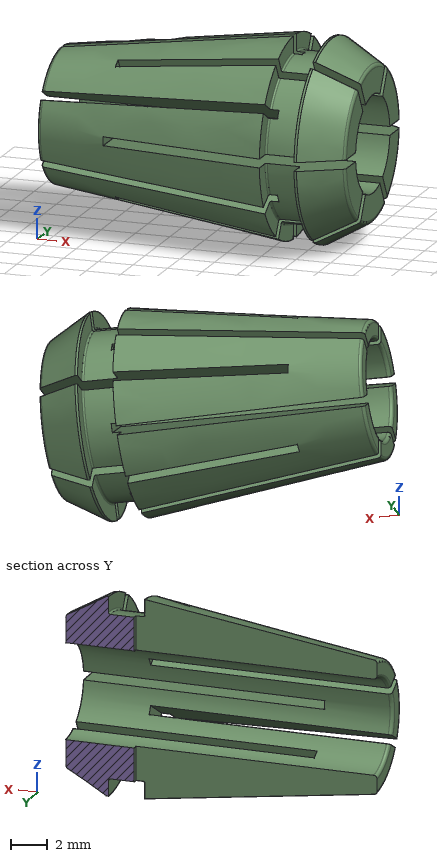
import cadquery as cq
import math

length = 18.0
bore_diameter = 5.56
largest_radius = 5.751

taper_end = 13.5
neck_end = 15.5
rim_width = 0.15

taper_angle = 8.0
nose_angle = 30.0
neck_radius = 4.75

small_end_fillet = 0.2
nose_fillet = 0.25
neck_fillet = 0.1

slot_width = 0.5
slots_per_set = 6
front_slot_end = 14.0
rear_slot_start = 4.0

bore_radius = bore_diameter / 2
nose_start = neck_end + rim_width
small_end_radius = largest_radius - taper_end * math.tan(math.radians(taper_angle))
nose_end_radius = largest_radius - (length - nose_start) * math.tan(math.radians(nose_angle))
slot_pitch = 360 / slots_per_set
slot_reach = largest_radius + slot_width


def fillet_ring(body, x, ring_radius, fillet_radius):
    """Round the circular edge that lies at station x and has the given radius."""
    tolerance = 0.002

    def is_ring(edge):
        same_radius = abs(edge.radius() - ring_radius) < tolerance
        same_station = abs(edge.startPoint().x - x) < tolerance
        return same_radius and same_station

    ring = body.edges("%CIRCLE").filter(is_ring)
    return ring.fillet(fillet_radius)


def make_body():
    """Revolve the collet profile and round its edges."""
    body = (
        cq.Workplane("XY")
        .moveTo(0, bore_radius)
        .lineTo(0, small_end_radius)
        .lineTo(taper_end, largest_radius)
        .lineTo(taper_end, neck_radius)
        .lineTo(neck_end, neck_radius)
        .lineTo(neck_end, largest_radius)
        .lineTo(nose_start, largest_radius)
        .lineTo(length, nose_end_radius)
        .lineTo(length, bore_radius)
        .close()
        .revolve(360, (0, 0, 0), (1, 0, 0))
    )
    body = fillet_ring(body, 0, bore_radius, small_end_fillet)
    body = fillet_ring(body, 0, small_end_radius, small_end_fillet)
    body = fillet_ring(body, taper_end, neck_radius, neck_fillet)
    body = fillet_ring(body, neck_end, neck_radius, neck_fillet)
    return fillet_ring(body, length, nose_end_radius, nose_fillet)


def cut_slots(body, slot_start, slot_end, first_angle):
    """Cut one set of evenly spaced slots; each cutter makes two opposite slots."""
    cutter = (
        cq.Workplane("XY")
        .box(slot_end - slot_start, 2 * slot_reach, slot_width, centered=(False, True, True))
        .translate((slot_start, 0, 0))
    )
    for index in range(slots_per_set // 2):
        angle = first_angle + index * slot_pitch
        body = body.cut(cutter.rotate((0, 0, 0), (1, 0, 0), angle))
    return body


collet = make_body()
collet = cut_slots(collet, rear_slot_start, length, 0)
result = cut_slots(collet, 0, front_slot_end, slot_pitch / 2)